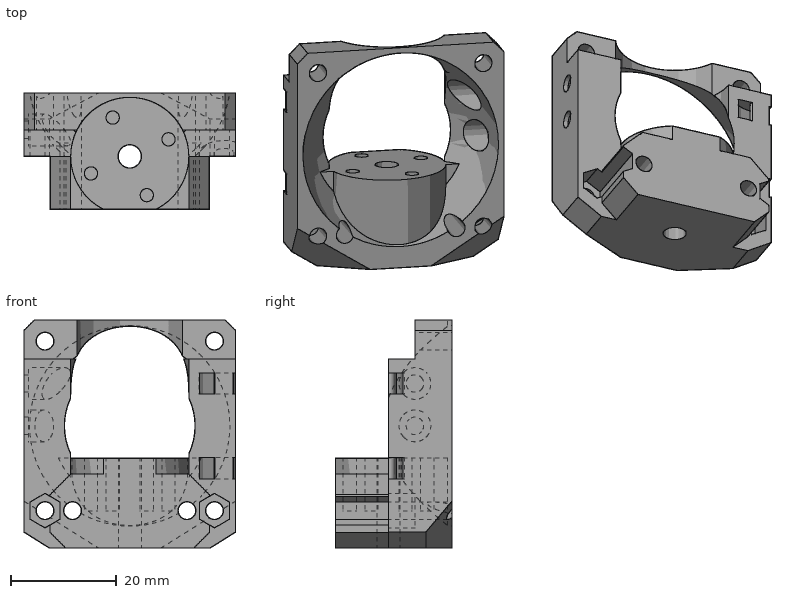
import cadquery as cq
import math

fan_size = 40.0
height = 43.1
half_width = fan_size / 2
fan_center_z = height - fan_size / 2
fan_hole_offset = 16.0
screw_diameter = 3.3

back_y = 12.0
flange_front_y = 5.0
block_front_y = -10.0

shoulder_z = 35.75
top_chamfer = 2.0
bottom_corner_run = 4.85
bottom_corner_rise = 3.05

oblique_front_y = 7.06
oblique_side_z = 8.9

barrel_radius = 11.15
seat_top_z = 17.0
seat_thickness = 3.0
center_hole_diameter = 4.35
seat_hole_diameter = 2.5
seat_hole_circle_radius = 8.0
seat_hole_count = 4
seat_hole_start_angle = 23.75
seat_hole_depth = 10.0

duct_radius = 19.1
duct_center_y = 14.6
duct_ledge_depth = 2.5

block_half_width = 15.05
block_bottom_chamfer = 3.0
mount_hole_x = 10.8

nut_across_flats = 5.65
nut_floor_y = flange_front_y

tie_offset_z = 8.0
tie_width = 4.0
tie_center_x = 17.8
tie_center_y = 0.5
tie_inner_depth_radius = 1.02
tie_outer_depth_radius = 2.5
tie_stretch = 1.89

side_lip_depth = 0.9
side_bore_diameter = 6.0


def extrude_between(outline, front_y, rear_y):
    """Extrude a closed XZ outline from front_y to rear_y."""
    sketch = cq.Workplane("XZ", origin=(0, rear_y, 0)).polyline(outline).close()
    return sketch.extrude(rear_y - front_y)


def mirrored_outline(right_side):
    """Close a right-hand outline with its mirror image about X = 0."""
    left_side = [(-x, z) for x, z in reversed(right_side)]
    return right_side + left_side


def cylinder_along_y(x, z, radius, front_y, rear_y):
    plane = cq.Workplane("XZ", origin=(x, rear_y, z))
    return plane.circle(radius).extrude(rear_y - front_y)


def make_frame():
    frame = extrude_between(
        mirrored_outline([
            (half_width - bottom_corner_run, 0),
            (half_width, bottom_corner_rise),
            (half_width, height - top_chamfer),
            (half_width - top_chamfer, height),
        ]),
        0,
        back_y,
    )
    step_height = height - shoulder_z
    step = cq.Workplane("XY", origin=(0, 0, shoulder_z)).box(
        fan_size, flange_front_y, step_height, centered=(True, False, False)
    )
    return frame.cut(step)


def make_oblique_corner():
    """Solid beyond the plane through the three corners of the left oblique face."""
    side_back = cq.Vector(-half_width, back_y, oblique_side_z)
    side_front = cq.Vector(-half_width, oblique_front_y, bottom_corner_rise)
    bottom_front = cq.Vector(-half_width + bottom_corner_run, oblique_front_y, 0)
    outward = (side_back - side_front).cross(bottom_front - side_front)
    plane = cq.Plane(origin=side_front, normal=outward)
    return cq.Workplane(plane).rect(2 * fan_size, 2 * fan_size).extrude(fan_size)


def make_duct():
    """Spherical hollow that narrows from the fan side towards the front of the frame.

    Below the seat level it stops short of the frame front, which leaves a small ledge.
    """
    sphere = cq.Workplane("XY", origin=(0, duct_center_y, fan_center_z)).sphere(duct_radius)
    ledge = cq.Workplane("XY").box(fan_size, duct_ledge_depth, seat_top_z, centered=(True, False, False))
    return sphere.cut(ledge)


def make_barrel_bore():
    plane = cq.Workplane("XY", origin=(0, 0, seat_top_z))
    return plane.circle(barrel_radius).extrude(height - seat_top_z)


def make_block():
    """Chamfered block in front of the frame, with the round seat running down through both."""
    block_top_z = seat_top_z - seat_thickness
    shoulder_drop = block_half_width - barrel_radius
    block = extrude_between(
        mirrored_outline([
            (block_half_width - block_bottom_chamfer, 0),
            (block_half_width, block_bottom_chamfer),
            (block_half_width, block_top_z - shoulder_drop),
            (barrel_radius, block_top_z),
        ]),
        block_front_y,
        0,
    )
    front_limit = cq.Workplane("XY", origin=(0, block_front_y, 0)).box(
        fan_size, fan_size, seat_top_z, centered=(True, False, False)
    )
    seat = cq.Workplane("XY").circle(barrel_radius).extrude(seat_top_z).intersect(front_limit)
    return block.union(seat)


def make_screw_holes():
    """Four fan screw holes and the two mounting holes, all right through along Y."""
    lower_z = fan_center_z - fan_hole_offset
    upper_z = fan_center_z + fan_hole_offset
    holes = cq.Workplane("XY")
    for side in (-1, 1):
        places = [
            (side * fan_hole_offset, upper_z),
            (side * fan_hole_offset, lower_z),
            (side * mount_hole_x, lower_z),
        ]
        for x, z in places:
            holes = holes.union(cylinder_along_y(x, z, screw_diameter / 2, block_front_y, back_y))
    return holes


def make_nut_pocket(x):
    """Hexagonal pocket with its corners up and down, open to the front of the block."""
    corner_radius = nut_across_flats / math.sqrt(3)
    center_z = fan_center_z - fan_hole_offset
    corners = []
    for index in range(6):
        angle = math.radians(30 + 60 * index)
        corners.append((x + corner_radius * math.cos(angle), center_z + corner_radius * math.sin(angle)))
    return extrude_between(corners, block_front_y, nut_floor_y)


def make_seat_holes():
    holes = cq.Workplane("XY").circle(center_hole_diameter / 2).extrude(seat_top_z)
    small = (
        cq.Workplane("XY", origin=(0, 0, seat_top_z))
        .transformed(rotate=(0, 0, seat_hole_start_angle))
        .polarArray(seat_hole_circle_radius, 0, 360, seat_hole_count)
        .circle(seat_hole_diameter / 2)
        .extrude(-seat_hole_depth)
    )
    return holes.union(small)


def make_side_hole(z):
    """Screw hole through a thin lip of the left wall, widening into a bore that meets the duct."""
    lip = cq.Workplane("YZ", origin=(-half_width, flange_front_y, z))
    hole = lip.circle(screw_diameter / 2).extrude(half_width)
    bore_depth = half_width - side_lip_depth - barrel_radius
    bore_plane = cq.Workplane("YZ", origin=(side_lip_depth - half_width, flange_front_y, z))
    bore = bore_plane.circle(side_bore_diameter / 2).extrude(bore_depth)
    return hole.union(bore)


def make_tie_slot(center_z):
    """Elliptical ring channel, stretched along X, that wraps around the right front edge."""
    plane = cq.Workplane("XY", origin=(tie_center_x, tie_center_y, center_z - tie_width / 2))
    outer = plane.ellipse(tie_stretch * tie_outer_depth_radius, tie_outer_depth_radius)
    ring = outer.ellipse(tie_stretch * tie_inner_depth_radius, tie_inner_depth_radius)
    return ring.extrude(tie_width)


left_corner = make_oblique_corner()
result = make_frame().cut(left_corner).cut(left_corner.mirror("YZ"))
result = result.cut(make_duct()).cut(make_barrel_bore())
result = result.union(make_block())
result = result.cut(make_screw_holes()).cut(make_seat_holes())

for nut_x in (-fan_hole_offset, fan_hole_offset):
    result = result.cut(make_nut_pocket(nut_x))

for side_hole_z in (fan_center_z, fan_center_z + tie_offset_z):
    result = result.cut(make_side_hole(side_hole_z))

for tie_z in (fan_center_z - tie_offset_z, fan_center_z + tie_offset_z):
    result = result.cut(make_tie_slot(tie_z))